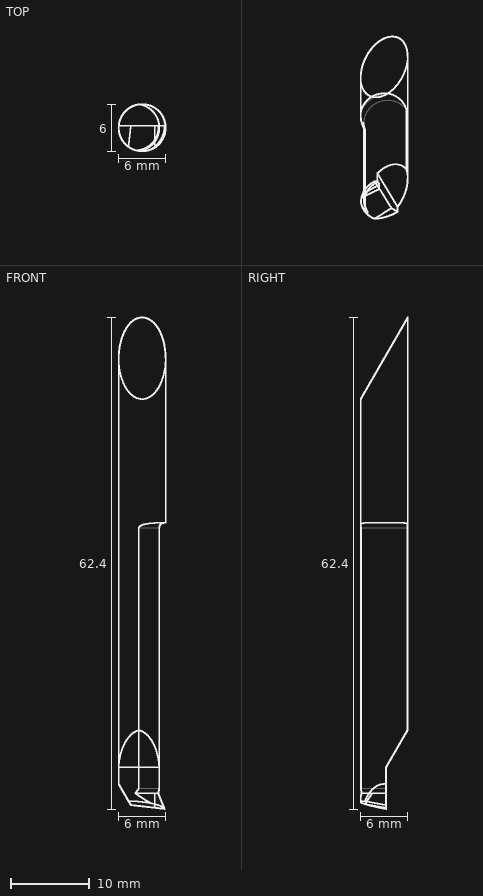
import cadquery as cq
import math

length = 62.45
radius = 3.0
end_angle = math.radians(60)
margin = 6.25

neck_shift = 0.8
neck_top = 36.35
neck_fillet = 0.6
neck_bottom = 2.6

undercut_depth = 0.1
undercut_z = 2.0
flank_slope = 0.4

rake_y = 0.25
rake_ramp_z = 10.05
side_ramp_z = 3.2
tip_x = 2.9
clearance_x_angle = 6.5
clearance_y_angle = 10.0

tip_inner_x = 1.6


def make_shank():
    return cq.Workplane("XY").circle(radius).extrude(length)


def cut_slanted_top(body):
    drop = (radius + margin) * math.tan(end_angle)
    front_z = length - 2 * radius * math.tan(end_angle)
    cutter = (
        cq.Workplane("YZ", origin=(-margin, 0, 0))
        .moveTo(radius, length)
        .lineTo(-radius, front_z)
        .lineTo(-radius - margin, front_z - margin * math.tan(end_angle))
        .lineTo(-radius - margin, length + drop)
        .lineTo(radius, length + drop)
        .close()
        .extrude(2 * margin)
    )
    return body.cut(cutter)


def neck_clearance():
    """Ring around the shifted neck axis: everything outside the neck profile."""
    outer = radius + margin
    undercut_radius = radius - undercut_depth
    flank_height = undercut_z + margin
    corner = neck_fillet * (1 - math.sqrt(0.5))
    return (
        cq.Workplane("XZ")
        .moveTo(outer, neck_top)
        .lineTo(radius + neck_fillet, neck_top)
        .threePointArc(
            (radius + corner, neck_top - corner),
            (radius, neck_top - neck_fillet),
        )
        .lineTo(radius, neck_bottom)
        .lineTo(undercut_radius, undercut_z)
        .lineTo(undercut_radius + flank_slope * flank_height, undercut_z - flank_height)
        .lineTo(outer, undercut_z - flank_height)
        .close()
        .revolve(360, (0, 0, 0), (0, 1, 0))
        .translate((-neck_shift, 0, 0))
    )


def cut_rake_face(body):
    """Flat rake face on the +Y side, ending in a ramp."""
    ramp_foot_z = rake_ramp_z - (radius - rake_y) * math.tan(end_angle)
    cutter = (
        cq.Workplane("YZ", origin=(-margin, 0, 0))
        .moveTo(rake_y, -margin)
        .lineTo(rake_y, ramp_foot_z)
        .lineTo(radius, rake_ramp_z)
        .lineTo(radius + margin, rake_ramp_z + margin * math.tan(end_angle))
        .lineTo(radius + margin, -margin)
        .close()
        .extrude(2 * margin)
    )
    return body.cut(cutter)


def cut_side_ramp(body):
    """Ramp that narrows the head from the -X side."""
    rise = margin * math.tan(end_angle)
    cutter = (
        cq.Workplane("XZ", origin=(0, margin, 0))
        .moveTo(-radius - margin, side_ramp_z + rise)
        .lineTo(-radius + margin, side_ramp_z - rise)
        .lineTo(-radius - margin, side_ramp_z - rise)
        .close()
        .extrude(2 * margin)
    )
    return body.cut(cutter)


def cut_end_clearance(body):
    """End face whose lowest point is the tip corner on the rake face."""
    size = 4 * margin
    cutter = (
        cq.Workplane("XY")
        .box(size, size, margin, centered=(True, True, False))
        .translate((0, 0, -margin))
        .rotate((0, 0, 0), (1, 0, 0), -clearance_y_angle)
        .rotate((0, 0, 0), (0, 1, 0), clearance_x_angle)
        .translate((tip_x, rake_y, 0))
    )
    return body.cut(cutter)


def tip_zone():
    """Block that holds the cutting tip: below the undercut, on the +X side."""
    return (
        cq.Workplane("XY")
        .box(margin, 2 * margin, margin, centered=(False, True, False))
        .translate((tip_inner_x, 0, undercut_z - margin))
    )


bar = cut_slanted_top(make_shank())
bar = bar.cut(neck_clearance())
bar = cut_rake_face(bar)
bar = cut_side_ramp(bar)
bar = cut_end_clearance(bar)

holder = bar.cut(tip_zone())
cutting_tip = bar.intersect(tip_zone())

result = cq.Compound.makeCompound([*holder.vals(), *cutting_tip.vals()])